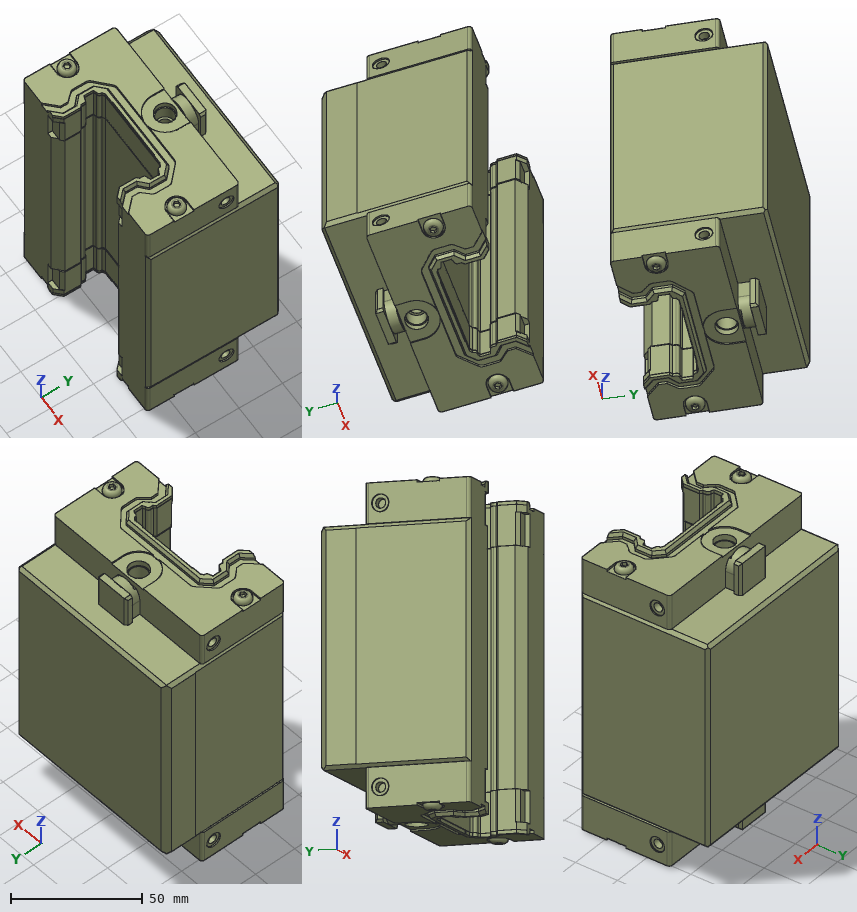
import cadquery as cq
import math


WIDTH = 86.0
HEIGHT = 61.1
LENGTH = 129.0
HALF_LENGTH = LENGTH / 2
HALF_WIDTH = WIDTH / 2

BLOCK_END = 47.2
BLOCK_CHAMFER = 1.5
DATUM_CHAMFER = 2.8
RELIEF_DEPTH = 0.1
RELIEF_TOP = 46.0

CAP_HALF_WIDTH = 42.6
CAP_HEIGHT = 42.6
CAP_END = 63.1
CAP_FILLET = 1.4

CHANNEL_TOP = 21.9
LIP_HALF_GAP = 18.8
LIP_TOP = 10.8
RACE_HALF_GAP = 19.9
WAIST_HALF_GAP = 22.6
WAIST_BOTTOM = 15.0
WAIST_TOP = 19.1
SHOULDER_RADIUS = 1.4
CEILING_CHAMFER_WIDTH = 1.3
CEILING_CHAMFER_DROP = 0.8
SHOULDER_STEP = 0.5
LOWER_SHOULDER_FOOT = 11.7
CAP_MOUTH = 3.1
BLOCK_MOUTH = 3.9
POCKET_MOUTH = 3.5
BLOCK_CLEARANCE = 0.4
SEAL_CLEARANCE = 0.1

POCKET_INNER = 18.0
POCKET_OUTER = 25.3
POCKET_DEPTH = 2.0
POCKET_END = 60.1

RECESS_FLOOR = 61.9
RECESS_FILLET = 2.6
RIB_CHAMFER = 1.4
RIB_CHAMFER_WIDTH = 0.97
LIP_NOTCH_HALF_WIDTH = 14.3
LIP_NOTCH_DEPTH = 0.4

SCREW_X = 37.5
SCREW_Y = 17.0
SCREW_SLOT = 9.0
SCREW_SLOT_DEPTH = 0.9
HEAD_DIAMETER = 7.6
HEAD_TOP_DIAMETER = 4.0
HEAD_BULGE = 0.45
SOCKET_DIAMETER = 3.0
SOCKET_DEPTH = 1.5

PORT_Y = 36.9
PORT_PAD_RADIUS = 9.0
PORT_PAD_DEPTH = 0.6
PORT_STEPS = [(9.0, 2.6), (8.0, 9.0), (6.0, 12.9)]

SIDE_PORT_Y = 36.5
SIDE_PORT_Z = 55.1
SIDE_PORT_STEPS = [(6.8, 0.6), (4.0, 3.9)]

BOSS_Z = 54.8
BOSS_DIAMETER = 14.0
FOOT_END = 59.9
FOOT_HEIGHT = 0.8
PLATE_BOTTOM = 47.6
PLATE_TOP = 50.8
PLATE_END = 62.0
PLATE_HALF_WIDTH = 8.4
PLATE_CHAMFER = 1.0


def both_sides(shape):
    """Add the copy mirrored across the X = 0 plane."""
    return shape.union(shape.mirror("YZ"))


def channel(mouth, clearance, start, end):
    """Void of the rail channel between two Z levels."""
    lip = LIP_HALF_GAP + clearance
    race = RACE_HALF_GAP + clearance
    waist = WAIST_HALF_GAP + clearance
    ceiling = CHANNEL_TOP + clearance
    arc_x = race + SHOULDER_RADIUS
    lower_y = WAIST_BOTTOM - SHOULDER_STEP
    upper_y = WAIST_TOP + SHOULDER_STEP
    lower_arc_y = lower_y - SHOULDER_RADIUS
    upper_arc_y = upper_y + SHOULDER_RADIUS
    diagonal = SHOULDER_RADIUS * math.sqrt(0.5)
    half = (
        cq.Workplane("XY", origin=(0, 0, start))
        .lineTo(lip + mouth, 0)
        .lineTo(lip, mouth)
        .lineTo(lip, LIP_TOP)
        .lineTo(race, LOWER_SHOULDER_FOOT)
        .lineTo(race, lower_arc_y)
        .threePointArc((arc_x - diagonal, lower_arc_y + diagonal), (arc_x, lower_y))
        .lineTo(waist, WAIST_BOTTOM)
        .lineTo(waist, WAIST_TOP)
        .lineTo(arc_x, upper_y)
        .threePointArc((arc_x - diagonal, upper_arc_y - diagonal), (race, upper_arc_y))
        .lineTo(race, ceiling - CEILING_CHAMFER_DROP)
        .lineTo(race - CEILING_CHAMFER_WIDTH, ceiling)
        .lineTo(0, ceiling)
        .close()
        .extrude(end - start)
    )
    return both_sides(half)


def block():
    """Steel block with its channel."""
    left = -HALF_WIDTH
    relieved = left + RELIEF_DEPTH
    section = (
        cq.Workplane("XY", origin=(0, 0, -BLOCK_END))
        .polyline([
            (relieved + BLOCK_CHAMFER, 0),
            (HALF_WIDTH - BLOCK_CHAMFER, 0),
            (HALF_WIDTH, BLOCK_CHAMFER),
            (HALF_WIDTH, HEIGHT - BLOCK_CHAMFER),
            (HALF_WIDTH - BLOCK_CHAMFER, HEIGHT),
            (left + DATUM_CHAMFER, HEIGHT),
            (left, HEIGHT - DATUM_CHAMFER),
            (left, RELIEF_TOP),
            (relieved, RELIEF_TOP),
            (relieved, BLOCK_CHAMFER),
        ])
        .close()
        .extrude(2 * BLOCK_END)
    )
    envelope = (
        cq.Workplane("XY")
        .box(WIDTH, HEIGHT, 2 * BLOCK_END, centered=(True, False, True))
        .faces("+Z or -Z")
        .edges("not <Y")
        .chamfer(BLOCK_CHAMFER)
    )
    void = channel(BLOCK_MOUTH, BLOCK_CLEARANCE, -BLOCK_END, BLOCK_END)
    return section.intersect(envelope).cut(void)


def symmetric_outline(right):
    """Closed outline on the recess floor from its right half, listed from the bottom up."""
    left = [(-x, y) for x, y in reversed(right)]
    return cq.Workplane("XY", origin=(0, 0, RECESS_FLOOR)).polyline(right + left).close()


def seal_recess():
    """Recess around the seal rib, rounded at its upper corners."""
    right = [(29.8, 0), (24.5, 5.3), (24.5, 8.6), (28.3, 12.8), (28.3, 20.6), (20.5, 28.0)]
    recess = symmetric_outline(right).extrude(CAP_END - RECESS_FLOOR)
    upper_corners = cq.selectors.BoxSelector((-WIDTH, LIP_TOP, 0), (WIDTH, HEIGHT, LENGTH))
    return recess.edges("|Z").edges(upper_corners).fillet(RECESS_FILLET)


def seal_rib():
    """Raised rib with a chamfered outer edge, still without the channel."""
    right = [(25.7, 0), (21.4, 4.3), (21.4, 9.7), (25.0, 13.0), (25.0, 20.8), (20.9, 24.8)]
    rib = symmetric_outline(right).extrude(HALF_LENGTH - RECESS_FLOOR)
    return rib.faces(">Z").edges("not <Y").chamfer(RIB_CHAMFER, RIB_CHAMFER_WIDTH)


def add_screw(cap, x):
    """Give the cap a slot open to the cap side and a domed socket screw standing in it."""
    floor = CAP_END - SCREW_SLOT_DEPTH
    side = math.copysign(CAP_HALF_WIDTH, x)
    pocket = (
        cq.Workplane("XY", origin=(x, SCREW_Y, floor))
        .circle(SCREW_SLOT / 2)
        .extrude(SCREW_SLOT_DEPTH)
    )
    run = (
        cq.Workplane("XY", origin=((x + side) / 2, SCREW_Y, floor))
        .rect(abs(side - x), SCREW_SLOT)
        .extrude(SCREW_SLOT_DEPTH)
    )
    head_height = HALF_LENGTH - floor
    head_radius = HEAD_DIAMETER / 2
    top_radius = HEAD_TOP_DIAMETER / 2
    dome_middle = ((head_radius + top_radius) / 2 + HEAD_BULGE, head_height / 2 + HEAD_BULGE)
    head = (
        cq.Workplane("XZ")
        .lineTo(head_radius, 0)
        .threePointArc(dome_middle, (top_radius, head_height))
        .lineTo(0, head_height)
        .close()
        .revolve(360, (0, 0, 0), (0, 1, 0))
        .faces(">Z")
        .workplane()
        .polygon(6, SOCKET_DIAMETER)
        .cutBlind(-SOCKET_DEPTH)
        .translate((x, SCREW_Y, floor))
    )
    return cap.cut(pocket).cut(run).union(head)


def stepped_hole(steps):
    """Coaxial bores going down from the XY origin."""
    bores = cq.Workplane("XY")
    for diameter, depth in steps:
        bores = bores.union(cq.Workplane("XY").circle(diameter / 2).extrude(-depth))
    return bores


def grease_port():
    """Sunken pad open to the cap top, with the stepped port in it."""
    floor = CAP_END - PORT_PAD_DEPTH
    pad_run = CAP_HEIGHT - PORT_Y
    pad = cq.Workplane("XY", origin=(0, PORT_Y, floor)).circle(PORT_PAD_RADIUS).extrude(PORT_PAD_DEPTH)
    run = (
        cq.Workplane("XY", origin=(0, PORT_Y + pad_run / 2, floor))
        .rect(2 * PORT_PAD_RADIUS, pad_run)
        .extrude(PORT_PAD_DEPTH)
    )
    return pad.union(run).union(stepped_hole(PORT_STEPS).translate((0, PORT_Y, floor)))


def side_ports():
    """Stepped ports in both cap sides."""
    port = stepped_hole(SIDE_PORT_STEPS).rotate((0, 0, 0), (0, 1, 0), 90)
    return both_sides(port.translate((CAP_HALF_WIDTH, SIDE_PORT_Y, SIDE_PORT_Z)))


def top_boss():
    """Boss with a round +Z end and a flat cut at its foot, carrying a chamfered plate."""
    rise = PLATE_BOTTOM - CAP_HEIGHT
    run = BOSS_Z - BLOCK_END
    boss = (
        cq.Workplane("XY", origin=(0, CAP_HEIGHT, BLOCK_END))
        .box(BOSS_DIAMETER, rise, run, centered=(True, False, False))
    )
    round_end = cq.Workplane("XZ", origin=(0, CAP_HEIGHT, BOSS_Z)).circle(BOSS_DIAMETER / 2).extrude(-rise)
    foot_cut = (
        cq.Workplane("XY", origin=(0, CAP_HEIGHT, FOOT_END))
        .box(BOSS_DIAMETER, FOOT_HEIGHT, HALF_LENGTH - FOOT_END, centered=(True, False, False))
    )
    boss = boss.union(round_end).cut(foot_cut)
    plate_height = PLATE_TOP - PLATE_BOTTOM
    plate = (
        cq.Workplane("XY", origin=(0, PLATE_BOTTOM, BLOCK_END))
        .box(2 * PLATE_HALF_WIDTH, plate_height, PLATE_END - BLOCK_END, centered=(True, False, False))
    )
    plate = plate.edges("|Y and >Z").chamfer(PLATE_CHAMFER)
    plate = plate.edges("|Z and >Y").chamfer(PLATE_CHAMFER)
    return boss.union(plate)


def end_cap():
    """Complete cap for the +Z end of the block."""
    cap = (
        cq.Workplane("XY", origin=(0, 0, BLOCK_END))
        .box(2 * CAP_HALF_WIDTH, CAP_HEIGHT, CAP_END - BLOCK_END, centered=(True, False, False))
        .edges("|Z")
        .fillet(CAP_FILLET)
    )
    cap = cap.cut(seal_recess())
    cap = cap.union(seal_rib())
    cap = cap.cut(channel(POCKET_MOUTH, 0, BLOCK_END, POCKET_END))
    cap = cap.cut(channel(CAP_MOUTH, 0, POCKET_END, CAP_END))
    cap = cap.cut(channel(CAP_MOUTH, SEAL_CLEARANCE, CAP_END, HALF_LENGTH))

    pocket = cq.Workplane("XY").box(
        POCKET_OUTER - POCKET_INNER, POCKET_DEPTH, POCKET_END - BLOCK_END, centered=False
    )
    cap = cap.cut(both_sides(pocket.translate((POCKET_INNER, 0, BLOCK_END))))

    lip_notch = cq.Workplane("XY", origin=(0, CHANNEL_TOP, CAP_END)).box(
        2 * LIP_NOTCH_HALF_WIDTH, 2 * LIP_NOTCH_DEPTH, HALF_LENGTH - CAP_END, centered=(True, True, False)
    )
    cap = cap.cut(lip_notch)

    for x in (-SCREW_X, SCREW_X):
        cap = add_screw(cap, x)
    cap = cap.cut(grease_port()).cut(side_ports())
    return cap.union(top_boss())


cap = end_cap()
result = block().union(cap).union(cap.mirror("XY"))